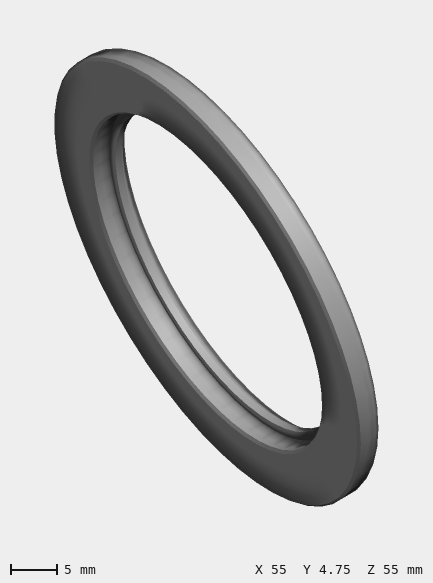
import cadquery as cq
import math

outer_radius = 27.5
thickness = 4.75
bore_radius = 19.6
recess_radius = 20.6
recess_depth = 2.55
back_chamfer = 1.3
edge_chamfer = 0.3
rim_height = 2.0
shoulder_radius = 1.4
slope_angle = math.radians(15)

shoulder_center_r = outer_radius - shoulder_radius


def shoulder_point(angle):
    """Point on the shoulder arc, with the angle measured from the rim."""
    return (
        shoulder_center_r + shoulder_radius * math.cos(angle),
        rim_height + shoulder_radius * math.sin(angle),
    )


shoulder_sweep = math.pi / 2 - slope_angle
slope_start_r, slope_start_height = shoulder_point(shoulder_sweep)

crown_radius = slope_start_r - (thickness - slope_start_height) / math.tan(slope_angle)

section = (
    cq.Workplane("XY")
    .moveTo(recess_radius + edge_chamfer, 0)
    .lineTo(outer_radius - edge_chamfer, 0)
    .lineTo(outer_radius, edge_chamfer)
    .lineTo(outer_radius, rim_height)
    .threePointArc(shoulder_point(shoulder_sweep / 2), (slope_start_r, slope_start_height))
    .lineTo(crown_radius, thickness)
    .lineTo(bore_radius + back_chamfer, thickness)
    .lineTo(bore_radius, thickness - back_chamfer)
    .lineTo(bore_radius, recess_depth)
    .lineTo(recess_radius, recess_depth)
    .lineTo(recess_radius, edge_chamfer)
    .close()
)

ring = section.revolve(360, (0, 0, 0), (0, 1, 0))
result = ring.translate((0, -thickness / 2, 0))